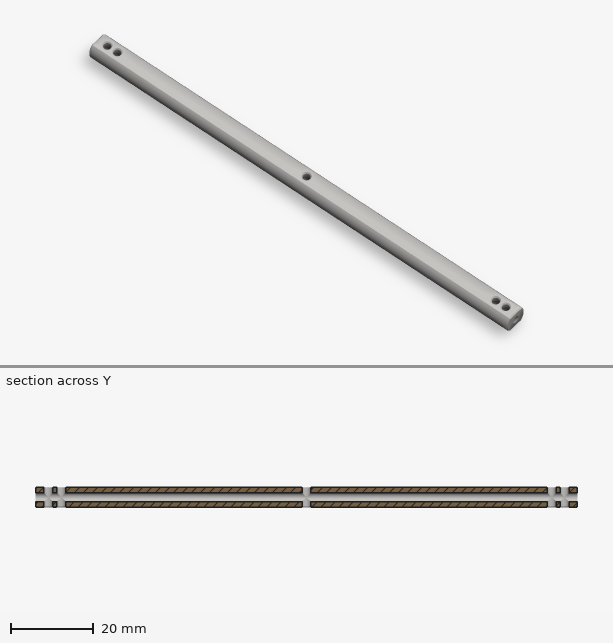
import cadquery as cq

length = 131.25
rod_diameter = 6.6
height_over_flats = 5.0
end_chamfer = 0.3

bore_diameter = 2.0
cross_hole_diameter = 2.0
countersink_diameter = 2.6
countersink_angle = 90.0
hole_pitch = 3.125

outer_hole_x = length / 2 - hole_pitch
inner_hole_x = outer_hole_x - hole_pitch
cross_hole_positions = [-outer_hole_x, -inner_hole_x, 0, inner_hole_x, outer_hole_x]


def make_bar():
    """Rod with two flats, chamfered around both end faces and centred on the origin."""
    rod = cq.Workplane("YZ").circle(rod_diameter / 2).extrude(length / 2, both=True)
    flats = cq.Workplane("XY").box(length, rod_diameter, height_over_flats)
    return rod.intersect(flats).faces("<X or >X").chamfer(end_chamfer)


def cut_bore(bar):
    """Bore along the full length of the bar."""
    bore = cq.Workplane("YZ").circle(bore_diameter / 2).extrude(length / 2, both=True)
    return bar.cut(bore)


def cut_cross_holes(bar):
    """Vertical through holes, countersunk from both flats."""
    for face in (">Z", "<Z"):
        bar = (
            bar.faces(face)
            .workplane(origin=(0, 0, 0))
            .pushPoints([(x, 0) for x in cross_hole_positions])
            .cskHole(cross_hole_diameter, countersink_diameter, countersink_angle)
        )
    return bar


result = cut_cross_holes(cut_bore(make_bar()))